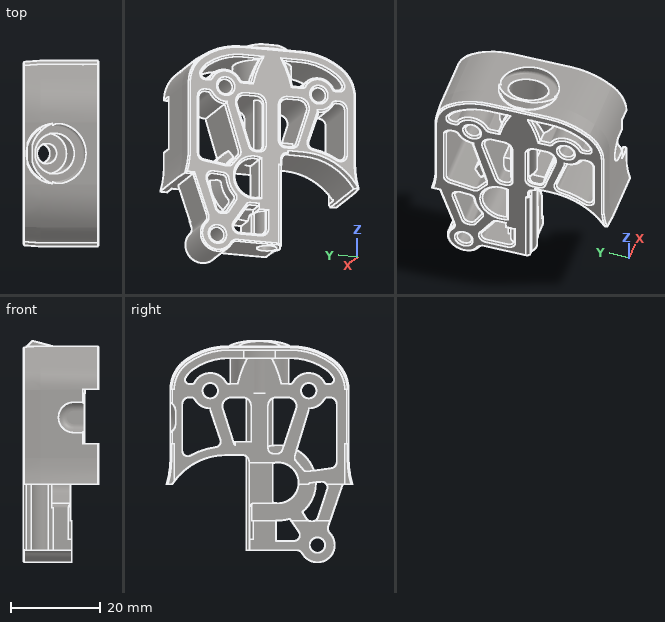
import cadquery as cq
import math


DEPTH = 17.05
HALF_WIDTH = 20.04
TOP_Z = 48.58
WALL = 2.75
CROWN_FLAT_HALF = 6.97
CROWN_RADIUS = 16.5
CROWN_ANGLE = math.radians(35.6)
SKIRT_HALF_WIDTH = 20.89
SKIRT_START_Z = 23.4
SKIRT_END_Z = 17.54
DRAFT_DEPTH = 3.9
DRAFT_ANGLE = 4.0
EDGE_CHAMFER = 0.33
RIM_CHAMFER = 0.45

SHOULDER_RADIUS = (HALF_WIDTH - CROWN_FLAT_HALF - CROWN_RADIUS * math.sin(CROWN_ANGLE)) / (
    1 - math.sin(CROWN_ANGLE)
)
CROWN_CENTRE_Z = TOP_Z - CROWN_RADIUS
SHOULDER_Y = HALF_WIDTH - SHOULDER_RADIUS
SHOULDER_Z = CROWN_CENTRE_Z + (CROWN_RADIUS - SHOULDER_RADIUS) * math.cos(CROWN_ANGLE)

ARCH_RADIUS = 14.25
ARCH_Y = -7.6
ARCH_TOP_Z = 24.07
ARCH_CENTRE_Z = ARCH_TOP_Z - ARCH_RADIUS
ARCH_WALL = 2.0
ARCH_CHAMFER = 0.78
ARCH_CORNER_RADIUS = 1.4

LEG_DEPTH = 10.98
FOOT_TOP_Z = 9.4
LEG_BOTTOM_Z = 2.73
LEG_TOP_Y = 18.7
BAR_Y = -2.35
PILLAR_SIDE_Y = BAR_Y + 0.15
PILLAR_STEP_X = 6.73
BAR_CHAMFER = ARCH_CHAMFER
BAR_CHAMFER_TOP_Z = 21.5
BAR_BACK_CHAMFER = BAR_CHAMFER
BAR_BACK_CHAMFER_Z = 5.2
EAR_Y = 13.0
EAR_RADIUS = 3.9
EAR_JOINT_DEGREES = 57.0
EAR_BLEND_RADIUS = 1.5

SCREW_DIAMETER = 3.4
SCREW_Y = 11.05
SCREW_Z = 38.55
SCREW_BOSS_RADIUS = 4.0

TUBE_X = 3.75
PASSAGE_DIAMETER = 4.5
PASSAGE_WALL = 0.75
TUBE_RADIUS = PASSAGE_DIAMETER / 2 + PASSAGE_WALL
SEAT_TILT = 15.0
SEAT_X = 7.1
SEAT_DIAMETER = 9.1
SEAT_DEPTH = 6.7
SEAT_PASSAGE_DEPTH = 13.0
SEAT_RIM_RADIUS = 6.8
SEAT_PEAK_RADIUS = 5.6
SEAT_FLOOR_FILLET = 0.6
SEAT_FRONT_X = 2.1
SEAT_PEAK_Z = 49.78
COUPLING_X = 7.35
COUPLING_RADIUS = 6.6
COUPLING_BOTTOM_Z = 38.0
COLLAR_WALL = 0.6

BORE_Y = 4.2
BORE_Z = 17.87
BORE_DIAMETER = 9.1
BORE_FLAT_Y = TUBE_RADIUS
BOSS_RADIUS = 8.5
BOSS_START_X = 4.0
BOSS_CONE_HEIGHT = 2.0
BOSS_END_X = 10.7
SLOT_START_X = 6.5
SLOT_LIP_RADIUS = 1.05
PILLAR_Y = 3.73
PILLAR_OVERLAP = 1.0

CROSSBAR_TOP_Z = 40.1
CROSSBAR_BOTTOM_Z = 37.0
WINDOW_Y = HALF_WIDTH - WALL
CENTRE_RIB_HALF = 1.9
LEG_WINDOW_FLOOR_Z = 4.85
LEG_WINDOW_TOP_Z = 11.5
LEG_WINDOW_STEP_Y = 3.1

LIP_X = 13.85
LIP_WALL = 0.9
NOTCH_BOTTOM_Z = 26.65
NOTCH_TOP_Z = 38.85
NOTCH_CHAMFER = 0.48
RECESS_Z = 32.55
RECESS_HALF_HEIGHT = 3.4
RECESS_FRONT_X = 7.95
RECESS_DEPTH = 1.2
RECESS_TAPER = 38.0
RECESS_FLOOR_FILLET = 2.0

RIB_WINDOW_BOTTOM_Y = 4.85
SILL_FRONT_X = 0.8
SILL_HEIGHT = 1.2
RIB_WINDOW_BOTTOM_Z = 24.4
SILL_WINDOW_BOTTOM_Z = 25.9
SILL_WINDOW_BOTTOM_Y = 5.45


def plane_at(x):
    """Sketch plane facing +X, with sketch coordinates (Y, Z)."""
    return cq.Workplane("YZ", origin=(x, 0, 0))


def box(x_range, y_range, z_range):
    size = [end - start for start, end in (x_range, y_range, z_range)]
    return cq.Workplane("XY").box(*size, centered=False).translate((x_range[0], y_range[0], z_range[0]))


def disc(y, z, radius, x_start, x_end):
    return plane_at(x_start).center(y, z).circle(radius).extrude(x_end - x_start)


def on_circle(y, z, radius, degrees):
    angle = math.radians(degrees)
    return (y + radius * math.cos(angle), z + radius * math.sin(angle))


def prism(points, depth=DEPTH):
    return plane_at(0).polyline(points).close().extrude(depth)


def round_corners(solid, corners):
    """Round the X-parallel edges that pass through each (y, z, radius)."""
    for y, z, radius in corners:
        reach = 0.05
        selector = cq.selectors.BoxSelector((-1, y - reach, z - reach), (DEPTH + 1, y + reach, z + reach))
        solid = solid.edges("|X").edges(selector).fillet(radius)
    return solid


def crown_outline(x, inset=0.0, bottom_z=SKIRT_START_Z):
    """Open outline of the block's top and sides, moved inwards by inset."""
    side = HALF_WIDTH - inset
    crown = CROWN_RADIUS - inset
    shoulder = SHOULDER_RADIUS - inset
    joint_degrees = 90 - math.degrees(CROWN_ANGLE)
    crown_mid = on_circle(CROWN_FLAT_HALF, CROWN_CENTRE_Z, crown, (90 + joint_degrees) / 2)
    joint = on_circle(CROWN_FLAT_HALF, CROWN_CENTRE_Z, crown, joint_degrees)
    shoulder_mid = on_circle(SHOULDER_Y, SHOULDER_Z, shoulder, joint_degrees / 2)

    def mirrored(point):
        return (-point[0], point[1])

    return (
        plane_at(x)
        .moveTo(-side, bottom_z)
        .lineTo(-side, SHOULDER_Z)
        .threePointArc(mirrored(shoulder_mid), mirrored(joint))
        .threePointArc(mirrored(crown_mid), (-CROWN_FLAT_HALF, TOP_Z - inset))
        .lineTo(CROWN_FLAT_HALF, TOP_Z - inset)
        .threePointArc(crown_mid, joint)
        .threePointArc(shoulder_mid, (side, SHOULDER_Z))
        .lineTo(side, bottom_z)
    )


def block_outline(x):
    """Outline of the block with its flared skirt, carried on straight below the skirt's end."""
    drop = SKIRT_START_Z - SKIRT_END_Z
    flare = SKIRT_HALF_WIDTH - HALF_WIDTH
    flare_radius = (drop**2 + flare**2) / (2 * flare)
    flare_degrees = math.degrees(math.asin(drop / flare_radius))
    centre_y = HALF_WIDTH + flare_radius
    mid_y, mid_z = on_circle(centre_y, SKIRT_START_Z, flare_radius, 180 + flare_degrees / 2)
    return (
        crown_outline(x)
        .threePointArc((mid_y, mid_z), (SKIRT_HALF_WIDTH, SKIRT_END_Z))
        .lineTo(SKIRT_HALF_WIDTH, LEG_BOTTOM_Z)
        .lineTo(-SKIRT_HALF_WIDTH, LEG_BOTTOM_Z)
        .lineTo(-SKIRT_HALF_WIDTH, SKIRT_END_Z)
        .threePointArc((-mid_y, mid_z), (-HALF_WIDTH, SKIRT_START_Z))
        .close()
    )


def make_block():
    back = block_outline(DRAFT_DEPTH).extrude(DEPTH - DRAFT_DEPTH).faces(">X").chamfer(EDGE_CHAMFER)
    front = (
        block_outline(0)
        .extrude(DRAFT_DEPTH, taper=DRAFT_ANGLE)
        .mirror("YZ")
        .translate((DRAFT_DEPTH, 0, 0))
    )
    above_skirt = box((0, DEPTH), (-HALF_WIDTH * 2, HALF_WIDTH * 2), (SKIRT_END_Z, TOP_Z))
    return back.union(front).intersect(above_skirt)


def arch_opening():
    """Space under the arch, between the bar and the -Y skirt."""
    end_drop = ARCH_TOP_Z - SKIRT_END_Z
    end_y = ARCH_Y - math.sqrt(ARCH_RADIUS**2 - (ARCH_RADIUS - end_drop) ** 2)
    opening = (
        plane_at(0)
        .moveTo(BAR_Y, LEG_BOTTOM_Z)
        .lineTo(BAR_Y, ARCH_TOP_Z)
        .lineTo(ARCH_Y, ARCH_TOP_Z)
        .threePointArc(on_circle(ARCH_Y, ARCH_CENTRE_Z, ARCH_RADIUS, 115), (end_y, SKIRT_END_Z))
        .lineTo(end_y, LEG_BOTTOM_Z)
        .close()
        .extrude(DEPTH)
    )
    return round_corners(opening, [(BAR_Y, ARCH_TOP_Z, ARCH_CORNER_RADIUS)])


def make_leg():
    ear_joint = on_circle(EAR_Y, EAR_RADIUS, EAR_RADIUS, EAR_JOINT_DEGREES)
    plate = prism(
        [
            (BAR_Y, LEG_BOTTOM_Z),
            (EAR_Y, LEG_BOTTOM_Z),
            ear_joint,
            (LEG_TOP_Y, SKIRT_END_Z),
            (LEG_TOP_Y, SKIRT_END_Z + WALL),
            (BAR_Y, SKIRT_END_Z + WALL),
        ],
        LEG_DEPTH,
    )
    leg = plate.union(disc(EAR_Y, EAR_RADIUS, EAR_RADIUS, 0, LEG_DEPTH))
    bottom_reach = math.sqrt(EAR_RADIUS**2 - (EAR_RADIUS - LEG_BOTTOM_Z) ** 2)
    return round_corners(
        leg,
        [
            (EAR_Y - bottom_reach, LEG_BOTTOM_Z, EAR_BLEND_RADIUS),
            (*ear_joint, EAR_BLEND_RADIUS),
        ],
    )


def crown_window():
    """Curved +Y window under the crown; its lower side passes round the screw boss."""
    rib_low_y = 4.9
    rib_mid = (3.95, 43.2)
    rib_top = (2.76, TOP_Z - WALL)
    sector = (
        plane_at(0)
        .moveTo(rib_low_y, CROSSBAR_TOP_Z)
        .lineTo(WINDOW_Y, CROSSBAR_TOP_Z)
        .lineTo(WINDOW_Y, TOP_Z)
        .lineTo(rib_top[0], TOP_Z)
        .lineTo(*rib_top)
        .threePointArc(rib_mid, (rib_low_y, CROSSBAR_TOP_Z))
        .close()
        .extrude(DEPTH)
    )
    inside = crown_outline(0, WALL).close().extrude(DEPTH)
    window = sector.intersect(inside).cut(disc(SCREW_Y, SCREW_Z, SCREW_BOSS_RADIUS, 0, DEPTH))
    boss_reach = math.sqrt(SCREW_BOSS_RADIUS**2 - (CROSSBAR_TOP_Z - SCREW_Z) ** 2)
    outer_reach = math.sqrt((SHOULDER_RADIUS - WALL) ** 2 - (CROSSBAR_TOP_Z - SHOULDER_Z) ** 2)
    return round_corners(
        window,
        [
            (SCREW_Y - boss_reach, CROSSBAR_TOP_Z, 0.6),
            (SCREW_Y + boss_reach, CROSSBAR_TOP_Z, 0.4),
            (SHOULDER_Y + outer_reach, CROSSBAR_TOP_Z, 0.9),
        ],
    )


def rib_window(bottom_y, bottom_z):
    """Tapering +Y window beside the middle rib."""
    top_y = 9.0
    window = prism(
        [
            (CENTRE_RIB_HALF, CROSSBAR_BOTTOM_Z),
            (top_y, CROSSBAR_BOTTOM_Z),
            (bottom_y, bottom_z),
            (CENTRE_RIB_HALF, bottom_z),
        ]
    )
    return round_corners(
        window,
        [
            (CENTRE_RIB_HALF, CROSSBAR_BOTTOM_Z, 1.8),
            (top_y, CROSSBAR_BOTTOM_Z, 1.9),
            (bottom_y, bottom_z, 1.3),
            (CENTRE_RIB_HALF, bottom_z, 1.3),
        ],
    )


def side_window(lower_points):
    """+Y window between the side wall and the slanted rib, below the screw boss."""
    inner_top_y = 11.1
    inner_top_z = 34.3
    window = prism(
        [
            (inner_top_y, inner_top_z),
            (inner_top_y, CROSSBAR_BOTTOM_Z),
            (WINDOW_Y, CROSSBAR_BOTTOM_Z),
            *lower_points,
        ]
    ).cut(disc(SCREW_Y, SCREW_Z, SCREW_BOSS_RADIUS, 0, DEPTH))
    boss_reach = math.sqrt(SCREW_BOSS_RADIUS**2 - (SCREW_Z - CROSSBAR_BOTTOM_Z) ** 2)
    return round_corners(
        window,
        [
            (WINDOW_Y, CROSSBAR_BOTTOM_Z, 1.4),
            (SCREW_Y + boss_reach, CROSSBAR_BOTTOM_Z, 0.8),
        ],
    )


def floor_side_window():
    """+Y side window, with a sloping floor above the leg."""
    wall_corner = (WINDOW_Y, 21.35)
    floor_corner = (10.2, 20.35)
    rib_corner = (7.75, 23.3)
    window = side_window([wall_corner, floor_corner, rib_corner])
    return round_corners(window, [(*wall_corner, 1.3), (*floor_corner, 1.0), (*rib_corner, 1.0)])


def arch_side_window():
    """-Y side window, with a floor that follows the arch."""
    floor_radius = ARCH_RADIUS + ARCH_WALL
    rib_y = -8.3
    wall_z = ARCH_CENTRE_Z + math.sqrt(floor_radius**2 - (WINDOW_Y + ARCH_Y) ** 2)
    rib_z = ARCH_CENTRE_Z + math.sqrt(floor_radius**2 - (rib_y - ARCH_Y) ** 2)
    window = side_window([(WINDOW_Y, SKIRT_END_Z), (-rib_y, SKIRT_END_Z), (-rib_y, rib_z)]).mirror("XZ")
    window = window.cut(disc(ARCH_Y, ARCH_CENTRE_Z, floor_radius, 0, DEPTH))
    return round_corners(window, [(-WINDOW_Y, wall_z, 1.2), (rib_y, rib_z, 1.2)])


def leg_slot():
    """Slanted window between the bore and the outer edge of the leg."""
    outer_top = (15.75, 18.2)
    foot_inner = (10.9, 9.3)
    foot_outer = (12.8, 9.3)
    ring_radius = 6.6
    ring_top = on_circle(BORE_Y, BORE_Z, ring_radius, 0)
    ring_end = on_circle(BORE_Y, BORE_Z, ring_radius, -48)
    window = (
        plane_at(0)
        .moveTo(*outer_top)
        .lineTo(*ring_top)
        .threePointArc(on_circle(BORE_Y, BORE_Z, ring_radius, -24), ring_end)
        .lineTo(*foot_inner)
        .lineTo(*foot_outer)
        .close()
        .extrude(DEPTH)
    )
    return round_corners(
        window,
        [
            (*outer_top, 1.2),
            (*ring_top, 1.0),
            (*ring_end, 0.8),
            (*foot_inner, 1.1),
            (*foot_outer, 1.1),
        ],
    )


def leg_window():
    """Stepped window beside the foot of the bar."""
    inner_y = 1.3
    step_z = 10.6
    top_y = 5.6
    outer_y = 10.2
    window = prism(
        [
            (inner_y, LEG_WINDOW_FLOOR_Z),
            (inner_y, step_z),
            (LEG_WINDOW_STEP_Y, step_z),
            (LEG_WINDOW_STEP_Y, LEG_WINDOW_TOP_Z),
            (top_y, LEG_WINDOW_TOP_Z),
            (outer_y, LEG_WINDOW_FLOOR_Z),
        ]
    )
    return round_corners(
        window,
        [
            (inner_y, LEG_WINDOW_FLOOR_Z, 1.5),
            (top_y, LEG_WINDOW_TOP_Z, 0.8),
            (outer_y, LEG_WINDOW_FLOOR_Z, 1.3),
        ],
    )


def screw_hole(y, z):
    return disc(y, z, SCREW_DIAMETER / 2, 0, DEPTH)


def side_notch():
    """Cut across the back of both side walls, with its outer rims chamfered."""
    z_range = (NOTCH_BOTTOM_Z, NOTCH_TOP_Z)
    notch = box((LIP_X, DEPTH), (-HALF_WIDTH, HALF_WIDTH), z_range)
    for side in (-1, 1):
        rim = (
            cq.Workplane("XY", origin=(0, 0, NOTCH_BOTTOM_Z))
            .moveTo(LIP_X, side * HALF_WIDTH)
            .lineTo(LIP_X - NOTCH_CHAMFER, side * HALF_WIDTH)
            .lineTo(LIP_X, side * (HALF_WIDTH - NOTCH_CHAMFER))
            .close()
            .extrude(NOTCH_TOP_Z - NOTCH_BOTTOM_Z)
        )
        notch = notch.union(rim)
    return notch


def thumb_recess():
    """Shallow round-ended recess in the -Y side wall, open towards the notch."""
    centre_x = RECESS_FRONT_X + RECESS_HALF_HEIGHT
    length = 2 * (DEPTH - RECESS_FRONT_X)
    return (
        cq.Workplane("XZ", origin=(centre_x, -HALF_WIDTH, RECESS_Z))
        .center(length / 2 - RECESS_HALF_HEIGHT, 0)
        .slot2D(length, 2 * RECESS_HALF_HEIGHT)
        .extrude(-RECESS_DEPTH, taper=RECESS_TAPER)
        .faces(">Y")
        .edges()
        .fillet(RECESS_FLOOR_FILLET)
    )


def chamfer_front(solid):
    """Chamfer the front face: a little round the outside, more round the windows and holes."""
    outside = solid.faces("<X").val().outerWire().Edges()
    solid = cq.Workplane(solid.val().chamfer(EDGE_CHAMFER, None, outside))
    window_step = cq.selectors.BoxSelector(
        (-1, 0, LEG_WINDOW_FLOOR_Z + 1),
        (1, PILLAR_Y, LEG_WINDOW_TOP_Z - 0.1),
    )
    for rim in solid.faces("<X").val().innerWires():
        sharp = window_step.filter(rim.Edges())
        edges = [edge for edge in rim.Edges() if edge not in sharp]
        solid = cq.Workplane(solid.val().chamfer(RIM_CHAMFER, None, edges))
    return solid


def arch_chamfer():
    """Wide chamfer along the front rim of the arch."""
    wide_radius = ARCH_RADIUS + ARCH_CHAMFER
    cone_cut = (
        plane_at(0)
        .center(ARCH_Y, ARCH_CENTRE_Z)
        .circle(wide_radius)
        .workplane(offset=ARCH_CHAMFER)
        .circle(ARCH_RADIUS)
        .loft(ruled=True)
    )
    round_part = cone_cut.intersect(
        box((0, ARCH_CHAMFER), (-SKIRT_HALF_WIDTH, ARCH_Y), (SKIRT_END_Z, ARCH_TOP_Z + ARCH_CHAMFER))
    )
    flat_start_y = BAR_Y - ARCH_CORNER_RADIUS
    flat_part = (
        cq.Workplane("XZ", origin=(0, flat_start_y, 0))
        .moveTo(0, ARCH_TOP_Z)
        .lineTo(ARCH_CHAMFER, ARCH_TOP_Z)
        .lineTo(0, ARCH_TOP_Z + ARCH_CHAMFER)
        .close()
        .extrude(flat_start_y - ARCH_Y)
    )
    return round_part.union(flat_part)


def bar_chamfer():
    """45 degree chamfer down the bar's front corner."""
    height = BAR_CHAMFER_TOP_Z - LEG_BOTTOM_Z
    return (
        cq.Workplane("XY", origin=(0, 0, LEG_BOTTOM_Z))
        .moveTo(0, BAR_Y)
        .lineTo(BAR_CHAMFER, BAR_Y)
        .lineTo(0, BAR_Y + BAR_CHAMFER)
        .close()
        .extrude(height)
    )


def pivot_boss():
    straight_x = BOSS_START_X + BOSS_CONE_HEIGHT
    boss = disc(BORE_Y, BORE_Z, BOSS_RADIUS, straight_x, BOSS_END_X)
    boss_cone = (
        plane_at(BOSS_START_X)
        .center(BORE_Y, BORE_Z)
        .circle(BOSS_RADIUS - BOSS_CONE_HEIGHT)
        .workplane(offset=BOSS_CONE_HEIGHT)
        .circle(BOSS_RADIUS)
        .loft(ruled=True)
    )
    boss = boss.union(boss_cone)
    beyond_bar = box((0, DEPTH), (BAR_Y, BORE_Y + BOSS_RADIUS), (0, TOP_Z))
    pillar_top_z = BORE_Z - BOSS_RADIUS + PILLAR_OVERLAP
    pillar = box((TUBE_X, LEG_DEPTH), (0, PILLAR_Y), (LEG_BOTTOM_Z, pillar_top_z))
    return boss.intersect(beyond_bar).union(pillar)


def pivot_bore():
    """D-shaped hole in front, full round with a slot towards -Y behind the bar."""
    radius = BORE_DIAMETER / 2
    round_hole = disc(BORE_Y, BORE_Z, radius, 0, DEPTH)
    bar = box((0, SLOT_START_X), (BAR_Y, BORE_FLAT_Y), (0, TOP_Z))
    slot = box((SLOT_START_X, DEPTH), (BAR_Y - 1, BORE_Y), (BORE_Z - radius, BORE_Z + radius))
    lip_z = BORE_Z - radius - SLOT_LIP_RADIUS
    lip_y = PILLAR_SIDE_Y + SLOT_LIP_RADIUS
    lip = box((SLOT_START_X, DEPTH), (BAR_Y, lip_y), (lip_z, BORE_Z - radius))
    lip = lip.cut(disc(lip_y, lip_z, SLOT_LIP_RADIUS, SLOT_START_X, DEPTH))
    return round_hole.cut(bar).union(slot).union(lip)


def vertical_cylinder(x, radius, bottom_z, top_z):
    return cq.Workplane("XY", origin=(x, 0, bottom_z)).circle(radius).extrude(top_z - bottom_z)


def tilted(solid):
    """Move a solid made about the Z axis onto the tilted axis of the coupling seat."""
    seat_z = SEAT_PEAK_Z - (SEAT_X - SEAT_FRONT_X) * math.tan(math.radians(SEAT_TILT))
    return solid.rotate((0, 0, 0), (0, 1, 0), SEAT_TILT).translate((SEAT_X, 0, seat_z))


def cone(low_radius, low_z, high_radius, high_z):
    return (
        cq.Workplane("XZ")
        .polyline([(0, low_z), (low_radius, low_z), (high_radius, high_z), (0, high_z)])
        .close()
        .revolve(360, (0, 0, 0), (0, 1, 0))
    )


def above_seat_plane():
    """Half space above the tilted plane of the seat."""
    size = 4 * COUPLING_RADIUS
    return tilted(cq.Workplane("XY").box(size, size, size, centered=(True, True, False)))


def seat_rim():
    """Raised front part of the coupling seat, with a flat 45 degree face at the front."""
    rise = SEAT_PEAK_Z - TOP_Z
    rim = cone(SEAT_RIM_RADIUS, TOP_Z, SEAT_PEAK_RADIUS, SEAT_PEAK_Z).translate((COUPLING_X, 0, 0))
    envelope = (
        cq.Workplane("XZ", origin=(0, HALF_WIDTH, 0))
        .moveTo(SEAT_FRONT_X - rise, TOP_Z)
        .lineTo(SEAT_FRONT_X, SEAT_PEAK_Z)
        .lineTo(DEPTH, SEAT_PEAK_Z)
        .lineTo(DEPTH, TOP_Z)
        .close()
        .extrude(2 * HALF_WIDTH)
    )
    return rim.intersect(envelope).cut(above_seat_plane())


def seat_cut():
    """Sunk part of the seat, the coupling hole and the start of the filament passage."""
    seat_radius = SEAT_DIAMETER / 2
    sunk = vertical_cylinder(COUPLING_X, SEAT_RIM_RADIUS, CROSSBAR_TOP_Z, TOP_Z + WALL)
    sunk = sunk.intersect(above_seat_plane()).edges("<Z").fillet(SEAT_FLOOR_FILLET)
    hole = cone(seat_radius, -SEAT_DEPTH, seat_radius, 0)
    passage = cone(PASSAGE_DIAMETER / 2, -SEAT_PASSAGE_DEPTH, PASSAGE_DIAMETER / 2, -SEAT_DEPTH)
    return sunk.union(tilted(hole.union(passage)))


def coupling_collar():
    """Thickens the back of the crown round the sunk part of the seat."""
    collar = vertical_cylinder(COUPLING_X, SEAT_RIM_RADIUS + COLLAR_WALL, TOP_Z - WALL, TOP_Z)
    under_flat = box((COUPLING_X, DEPTH), (-CROWN_FLAT_HALF, CROWN_FLAT_HALF), (0, TOP_Z))
    return collar.intersect(under_flat)


def back_lip():
    """Space inside the thin lip at the back of the block."""
    return crown_outline(LIP_X, LIP_WALL, SKIRT_END_Z).close().extrude(DEPTH - LIP_X)


def leg_back_trim():
    """Shallow steps behind the leg and on the outer side of its pillar."""
    above_foot = box((BOSS_END_X, LEG_DEPTH), (BAR_Y, HALF_WIDTH), (FOOT_TOP_Z, SKIRT_END_Z))
    pillar_step = box((PILLAR_STEP_X, LEG_DEPTH), (BAR_Y, PILLAR_SIDE_Y), (LEG_BOTTOM_Z, BORE_Z))
    back_chamfer = (
        cq.Workplane("XY", origin=(0, 0, BAR_BACK_CHAMFER_Z))
        .moveTo(LEG_DEPTH, PILLAR_SIDE_Y)
        .lineTo(LEG_DEPTH - BAR_BACK_CHAMFER, PILLAR_SIDE_Y)
        .lineTo(LEG_DEPTH, PILLAR_SIDE_Y + BAR_BACK_CHAMFER)
        .close()
        .extrude(SKIRT_END_Z - BAR_BACK_CHAMFER_Z)
    )
    return above_foot.union(pillar_step).union(back_chamfer)


def window_sill():
    """Sill with a 45 degree front along the bottom of the -Y rib window."""
    top_z = SILL_WINDOW_BOTTOM_Z + SILL_HEIGHT
    return (
        cq.Workplane("XZ", origin=(0, -CENTRE_RIB_HALF, 0))
        .moveTo(SILL_FRONT_X, SILL_WINDOW_BOTTOM_Z)
        .lineTo(SILL_FRONT_X + SILL_HEIGHT, top_z)
        .lineTo(LIP_X, top_z)
        .lineTo(LIP_X, SILL_WINDOW_BOTTOM_Z)
        .close()
        .extrude(SILL_WINDOW_BOTTOM_Y - CENTRE_RIB_HALF)
    )


WINDOWS = [
    crown_window(),
    crown_window().mirror("XZ"),
    rib_window(RIB_WINDOW_BOTTOM_Y, RIB_WINDOW_BOTTOM_Z),
    rib_window(SILL_WINDOW_BOTTOM_Y, SILL_WINDOW_BOTTOM_Z).mirror("XZ"),
    floor_side_window(),
    arch_side_window(),
    leg_slot(),
    leg_window(),
]
SCREW_PLACES = [(SCREW_Y, SCREW_Z), (-SCREW_Y, SCREW_Z), (EAR_Y, EAR_RADIUS)]

body = make_block().union(make_leg()).cut(arch_opening()).cut(side_notch()).cut(thumb_recess())
for window in WINDOWS:
    body = body.cut(window)
for screw_y, screw_z in SCREW_PLACES:
    body = body.cut(screw_hole(screw_y, screw_z))
body = body.cut(pivot_bore())
body = chamfer_front(body)
body = body.cut(back_lip())

body = body.union(window_sill()).union(pivot_boss())
body = body.cut(leg_back_trim())
body = body.union(vertical_cylinder(TUBE_X, TUBE_RADIUS, LEG_BOTTOM_Z, CROSSBAR_TOP_Z))
body = body.union(vertical_cylinder(COUPLING_X, COUPLING_RADIUS, COUPLING_BOTTOM_Z, TOP_Z))
body = body.union(coupling_collar()).union(seat_rim())

body = body.cut(pivot_bore()).cut(bar_chamfer()).cut(arch_chamfer()).cut(seat_cut())
body = body.cut(vertical_cylinder(TUBE_X, PASSAGE_DIAMETER / 2, 0, COUPLING_BOTTOM_Z))
result = body